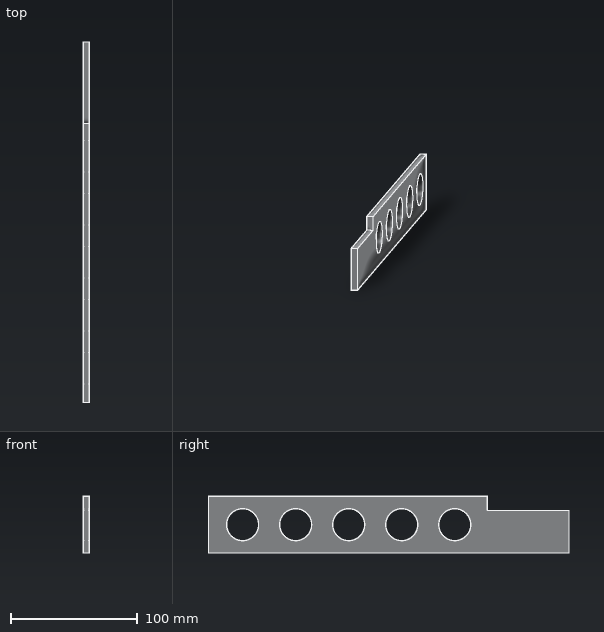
import cadquery as cq

thickness = 5.0
length = 285.0
height = 45.0

step_length = 64.7
step_depth = 11.0

hole_diameter = 25.0
hole_count = 5
hole_pitch = 42.0
first_hole_from_end = 27.0

bar = cq.Workplane("XY").box(thickness, length, height, centered=(True, False, False))

step = (
    cq.Workplane("XY")
    .box(thickness, step_length, step_depth, centered=(True, False, False))
    .translate((0, length - step_length, height - step_depth))
)

hole_centers = [
    (first_hole_from_end + index * hole_pitch, height / 2)
    for index in range(hole_count)
]
holes = (
    cq.Workplane("YZ", origin=(-thickness / 2, 0, 0))
    .pushPoints(hole_centers)
    .circle(hole_diameter / 2)
    .extrude(thickness)
)

result = bar.cut(step).cut(holes)